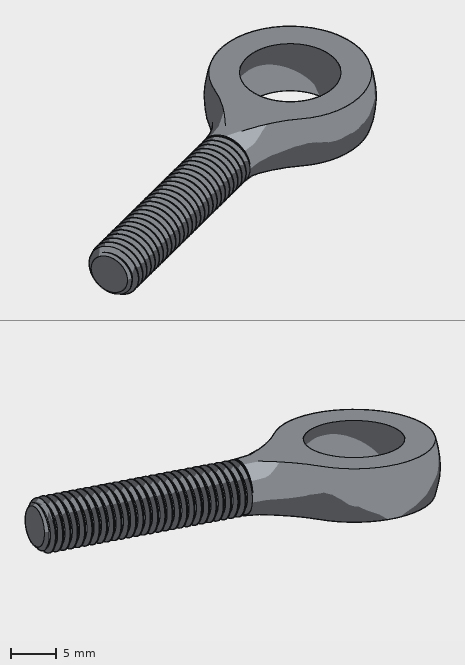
import cadquery as cq
import math

INCH = 25.4

eye_radius = 0.375 * INCH
eye_thickness = 0.25 * INCH
bore_mouth_radius = 5.59
seat_radius = math.hypot(bore_mouth_radius, eye_thickness / 2)

shank_radius = 0.125 * INCH
neck_fillet_radius = 0.375 * INCH
fillet_center_x = shank_radius + neck_fillet_radius
center_distance = eye_radius + neck_fillet_radius
neck_end_y = -math.sqrt(center_distance**2 - fillet_center_x**2)

shank_end_y = -1.5625 * INCH
shank_length = neck_end_y - shank_end_y
end_radius = 2.32

threads_per_inch = 28
flank_angle = 30
pitch = INCH / threads_per_inch
flank_slope = math.tan(math.radians(flank_angle))
crest_width = pitch / 8
thread_depth = 17 / 24 * math.sqrt(3) / 2 * pitch
root_radius = shank_radius - thread_depth
first_crest_drop = 0.94
spare_turns = 2
ridge_embed = 0.02


def arc_point(center, radius, direction):
    """Point on a circle, in the given direction from its centre."""
    length = math.hypot(*direction)
    return (
        center[0] + radius * direction[0] / length,
        center[1] + radius * direction[1] / length,
    )


def make_eye_and_neck():
    """Eye sphere and neck, turned about Y, trimmed by the two flats and bored by the seat."""
    fillet_center = (fillet_center_x, neck_end_y)
    tangent_point = arc_point((0, 0), eye_radius, fillet_center)
    bisector = (
        -fillet_center_x / center_distance - 1,
        -neck_end_y / center_distance,
    )
    neck_mid_point = arc_point(fillet_center, neck_fillet_radius, bisector)

    turned = (
        cq.Workplane("XY")
        .moveTo(0, eye_radius)
        .threePointArc((eye_radius, 0), tangent_point)
        .threePointArc(neck_mid_point, (shank_radius, neck_end_y))
        .lineTo(0, neck_end_y)
        .close()
        .revolve(360, (0, 0, 0), (0, 1, 0))
    )
    slab_side = 4 * eye_radius
    flats = cq.Workplane("XY").box(slab_side, slab_side, eye_thickness)
    seat = cq.Workplane("XY").sphere(seat_radius)
    return turned.intersect(flats).cut(seat)


def make_overlong_thread():
    """Root core with a helical ridge, built up Z and turned onto Y, longer than the shank."""
    turns = math.ceil(shank_length / pitch) + 2 * spare_turns
    helix_length = turns * pitch
    inner_radius = root_radius - ridge_embed
    crest_half_width = crest_width / 2
    inner_half_width = crest_half_width + (shank_radius - inner_radius) * flank_slope

    helix = cq.Wire.makeHelix(pitch, helix_length, root_radius)
    ridge = (
        cq.Workplane("XZ")
        .polyline(
            [
                (inner_radius, -inner_half_width),
                (shank_radius, -crest_half_width),
                (shank_radius, crest_half_width),
                (inner_radius, inner_half_width),
            ]
        )
        .close()
        .sweep(cq.Workplane(obj=helix), isFrenet=True)
    )
    core = (
        cq.Workplane("XY", origin=(0, 0, -spare_turns * pitch))
        .circle(root_radius)
        .extrude(helix_length + 2 * spare_turns * pitch)
    )
    start_y = neck_end_y - first_crest_drop - (turns - spare_turns) * pitch
    return core.union(ridge).rotate((0, 0, 0), (1, 0, 0), -90).translate((0, start_y, 0))


def make_shank():
    """Thread trimmed square at the neck and to a 45 degree chamfer at the free end."""
    envelope_radius = shank_radius + thread_depth
    envelope = (
        cq.Workplane("XZ", origin=(0, neck_end_y, 0))
        .circle(envelope_radius)
        .extrude(shank_length)
        .faces("<Y")
        .chamfer(envelope_radius - end_radius)
    )
    return make_overlong_thread().intersect(envelope)


result = make_eye_and_neck().union(make_shank())